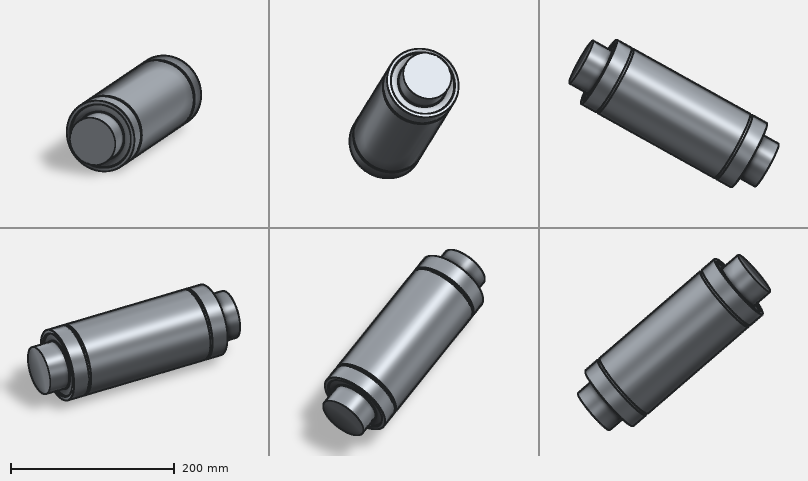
import cadquery as cq


SHAFT_DIAMETER = 60.0
SHAFT_LENGTH = 261.0

SLEEVE_DIAMETER = 90.0
SLEEVE_LENGTH = 211.0
SLEEVE_CHAMFER = 0.3

GROOVE_DIAMETER = 86.5
GROOVE_WIDTH = 3.15
GROOVE_OUTER_SPAN = 170.0

SEAL_DIAMETER = 78.7
MOUTH_DIAMETER = 80.7
SEAL_SETBACK = 2.0

LIP_DIAMETER = 61.8
LIP_HEIGHT = 1.3

ENDS = (-1, 1)


def cylinder(diameter, y_start, y_end):
    """Solid cylinder on the Y axis between two stations."""
    y_low = min(y_start, y_end)
    length = abs(y_end - y_start)
    plane = cq.Workplane("XZ", origin=(0, y_low, 0))
    return plane.circle(diameter / 2).extrude(-length)


def sleeve():
    half_length = SLEEVE_LENGTH / 2
    body = cylinder(SLEEVE_DIAMETER, -half_length, half_length)
    return body.faces("<Y or >Y").edges().chamfer(SLEEVE_CHAMFER)


def retaining_groove(end):
    """Ring of material removed for a retaining ring."""
    outer_wall = end * GROOVE_OUTER_SPAN / 2
    inner_wall = outer_wall - end * GROOVE_WIDTH
    ring = cylinder(SLEEVE_DIAMETER, outer_wall, inner_wall)
    return ring.cut(cylinder(GROOVE_DIAMETER, outer_wall, inner_wall))


def end_mouth(end):
    """Tapered recess down to the seal, leaving the seal lip standing around the shaft."""
    face = end * SLEEVE_LENGTH / 2
    seal_face = face - end * SEAL_SETBACK
    lip_top = seal_face + end * LIP_HEIGHT
    profile = [
        (0, face),
        (MOUTH_DIAMETER / 2, face),
        (SEAL_DIAMETER / 2, seal_face),
        (LIP_DIAMETER / 2, seal_face),
        (LIP_DIAMETER / 2, lip_top),
        (0, lip_top),
    ]
    outline = cq.Workplane("XY").polyline(profile).close()
    return outline.revolve(360, (0, 0, 0), (0, 1, 0))


bushing = sleeve()
for end in ENDS:
    bushing = bushing.cut(retaining_groove(end))
    bushing = bushing.cut(end_mouth(end))

shaft = cylinder(SHAFT_DIAMETER, -SHAFT_LENGTH / 2, SHAFT_LENGTH / 2)
result = bushing.union(shaft)